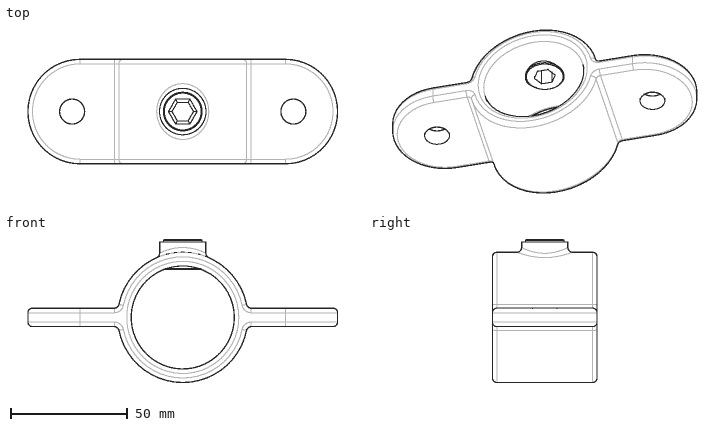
import cadquery as cq
import math

overall_length = 133.0
clamp_width = 45.0
overall_height = 61.5
ring_outer_diameter = 56.0
ring_outer_radius = ring_outer_diameter / 2
bore_radius = 22.1
tab_thickness = 8.0
tab_hole_diameter = 10.6
tab_hole_offset = 47.5
edge_radius = 2.0
root_radius = 2.0
selection_margin = 0.1

boss_diameter = 20.0
boss_top = 32.5
boss_fillet = 2.0

screw_diameter = 16.6
screw_top = overall_height - ring_outer_radius
screw_bottom = 20.6
screw_chamfer = 0.4
socket_sides = 6
socket_flats = 8.0
socket_mouth_flats = 10.6
socket_mouth_depth = 0.5


def cylinder_along_z(diameter, bottom, top):
    return cq.Workplane("XY").workplane(offset=bottom).circle(diameter / 2).extrude(top - bottom)


def hexagon_diameter(flats):
    """Circumscribed diameter of a hexagon with the given width across flats."""
    return flats / math.cos(math.pi / socket_sides)


def make_body_blank():
    """Solid hub with a round-ended tab on each side and blended tab roots."""
    hub = cq.Workplane("XZ").circle(ring_outer_radius).extrude(clamp_width / 2, both=True)
    tabs = (
        cq.Workplane("XY")
        .slot2D(overall_length, clamp_width)
        .extrude(tab_thickness / 2, both=True)
    )
    root_x = math.sqrt(ring_outer_radius**2 - (tab_thickness / 2) ** 2)
    blank = hub.union(tabs)
    roots = cq.selectors.BoxSelector(
        (-root_x - selection_margin, -selection_margin, -tab_thickness),
        (root_x + selection_margin, selection_margin, tab_thickness),
    )
    return blank.edges("|Y").edges(roots).fillet(root_radius)


def make_housing():
    """Ring with two mounting tabs and a bossed hole for the screw."""
    bore = cq.Workplane("XZ").circle(bore_radius).extrude(clamp_width / 2, both=True)
    housing = make_body_blank().cut(bore)
    housing = housing.faces("<Y or >Y").edges().fillet(edge_radius)

    boss = cylinder_along_z(boss_diameter, (bore_radius + ring_outer_radius) / 2, boss_top)
    housing = housing.union(boss)
    boss_root = cq.selectors.BoxSelector(
        (-boss_diameter, -boss_diameter, bore_radius),
        (boss_diameter, boss_diameter, boss_top - selection_margin),
    )
    housing = housing.edges(boss_root).fillet(boss_fillet)

    tab_holes = (
        cq.Workplane("XY")
        .workplane(offset=-tab_thickness / 2)
        .pushPoints([(-tab_hole_offset, 0), (tab_hole_offset, 0)])
        .circle(tab_hole_diameter / 2)
        .extrude(tab_thickness)
    )
    screw_hole = cylinder_along_z(screw_diameter, 0, screw_top)
    return housing.cut(tab_holes).cut(screw_hole)


def make_screw():
    """Set screw with a through hexagon socket that widens at the top."""
    screw = cylinder_along_z(screw_diameter, screw_bottom, screw_top)
    screw = screw.faces("<Z or >Z").edges().chamfer(screw_chamfer)
    socket = (
        cq.Workplane("XY")
        .workplane(offset=screw_bottom)
        .polygon(socket_sides, hexagon_diameter(socket_flats))
        .extrude(screw_top - screw_bottom)
    )
    mouth = (
        cq.Workplane("XY")
        .workplane(offset=screw_top - socket_mouth_depth)
        .polygon(socket_sides, hexagon_diameter(socket_flats))
        .workplane(offset=socket_mouth_depth)
        .polygon(socket_sides, hexagon_diameter(socket_mouth_flats))
        .loft(ruled=True)
    )
    return screw.cut(socket).cut(mouth)


housing = make_housing()
screw = make_screw()

result = cq.Compound.makeCompound([housing.val(), screw.val()])